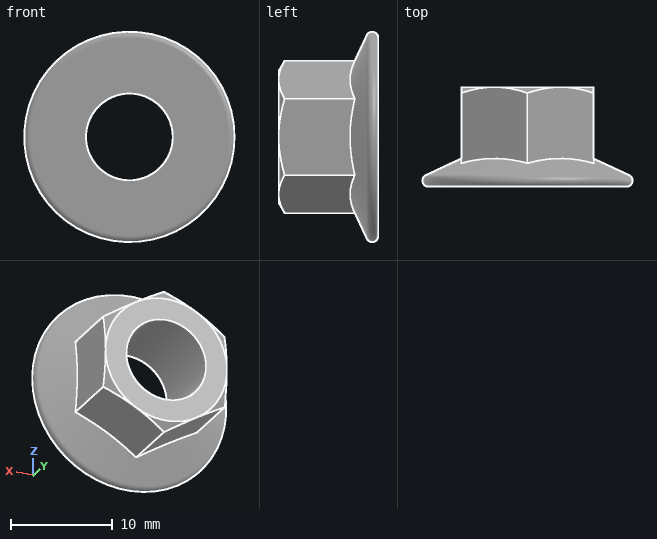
import cadquery as cq
import math

flange_diameter = 20.7
height = 9.8
across_flats = 13.0
bore_diameter = 8.5
rim_radius = 0.6
flange_angle = math.radians(25)
chamfer_angle = math.radians(30)

flange_radius = flange_diameter / 2
flat_radius = across_flats / 2
corner_radius = flat_radius / math.cos(math.radians(30))
bore_radius = bore_diameter / 2


def revolve_about_y(profile):
    return profile.close().revolve(360, (0, 0, 0), (0, 1, 0))


def make_flange():
    """Conical flange whose rounded rim is tangent to the face and the cone."""
    rim_center = flange_radius - rim_radius
    cone_start_radius = rim_center + rim_radius * math.sin(flange_angle)
    cone_start_y = rim_radius * (1 + math.cos(flange_angle))
    cone_end_y = cone_start_y + (cone_start_radius - bore_radius) * math.tan(flange_angle)
    profile = (
        cq.Workplane("XY")
        .lineTo(rim_center, 0)
        .threePointArc((flange_radius, rim_radius), (cone_start_radius, cone_start_y))
        .lineTo(bore_radius, cone_end_y)
        .lineTo(0, cone_end_y)
    )
    return revolve_about_y(profile)


def make_hex():
    """Hexagon with corners on Z, its end corners cut back by a cone."""
    corners = [
        (corner_radius * math.sin(math.radians(60 * i)), corner_radius * math.cos(math.radians(60 * i)))
        for i in range(6)
    ]
    prism = cq.Workplane("XZ").polyline(corners).close().extrude(-height)
    envelope_drop = (flange_radius - flat_radius) * math.tan(chamfer_angle)
    envelope = revolve_about_y(
        cq.Workplane("XY")
        .lineTo(flange_radius, 0)
        .lineTo(flange_radius, height - envelope_drop)
        .lineTo(flat_radius, height)
        .lineTo(0, height)
    )
    return prism.intersect(envelope)


bore = cq.Workplane("XZ").circle(bore_radius).extrude(-height)
result = make_flange().union(make_hex()).cut(bore)